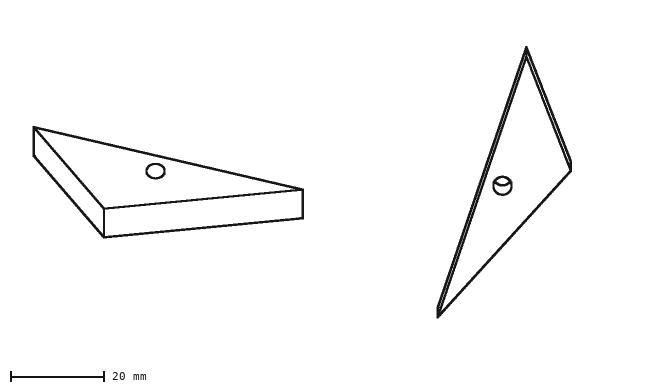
import cadquery as cq

length = 59.7
width = 16.85
thickness = 10.0
apex_x = 20.55

hole_diameter = 3.9
hole_x = 28.25
hole_setback = 4.05

plate = (
    cq.Workplane("XY")
    .polyline([(0, 0), (apex_x, -width), (length, 0)])
    .close()
    .extrude(thickness)
)

hole = (
    cq.Workplane("XY")
    .center(hole_x, -hole_setback)
    .circle(hole_diameter / 2)
    .extrude(thickness)
)

result = plate.cut(hole)